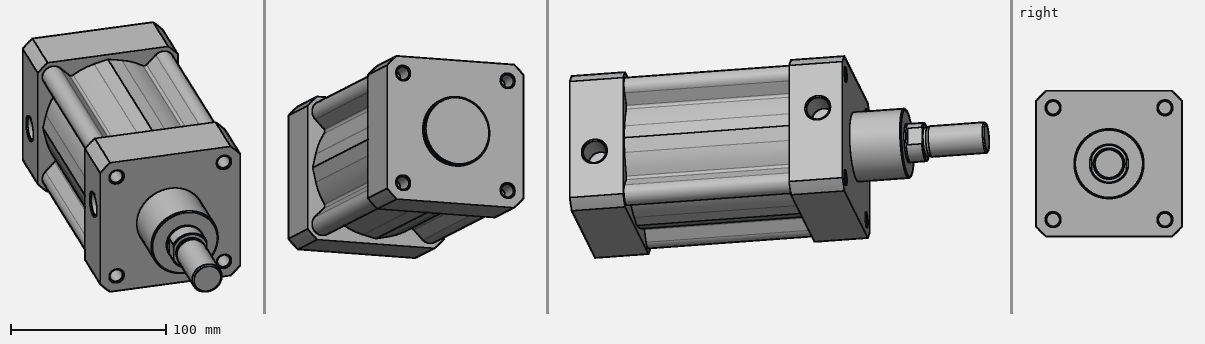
import cadquery as cq
import math


overall_length = 268.0

cover_width = 94.0
cover_length = 35.0
cover_corner_radius = 62.0
rear_cover_x = 0.0
rear_cover_end_x = rear_cover_x + cover_length
front_cover_x = 143.8
front_cover_end_x = front_cover_x + cover_length

spigot_diameter = 45.0
rear_spigot_length = 3.6
collar_length = 33.7
spigot_chamfer = 0.8
nose_length = 1.2

mount_hole_offset = 36.0
mount_hole_diameter = 8.5
mount_hole_depth = 16.0
mount_hole_chamfer = 0.8

port_diameter = 15.0
port_depth = 20.0
port_chamfer = 0.9
port_inset = 16.2
port_offset_z = 9.5

barrel_radius = 42.5
ridge_half_angle = 12.6
corner_rib_offset = 37.0
corner_rib_radius = 7.0
rib_root_fillet = 2.0

rod_diameter = 25.0
rod_flat_width = 22.2
rod_body_length = 10.7
rod_flat_length = 9.6
rod_chamfer = 0.5
relief_shoulder_diameter = 19.0
relief_root_diameter = 18.4
relief_taper_length = 1.7
relief_runout_length = 1.8
thread_diameter = 20.0
thread_chamfer = 1.0
rod_start_x = front_cover_end_x + collar_length + nose_length
rod_shoulder_x = rod_start_x + rod_body_length
rod_tip_x = overall_length - rear_spigot_length


def cylinder_x(start_x, length, diameter):
    """Solid cylinder along +X on the cylinder axis."""
    return cq.Workplane("YZ", origin=(start_x, 0, 0)).circle(diameter / 2).extrude(length)


def hole_cutter(diameter, depth, chamfer):
    """Blind hole along +Z from the origin with a 45 degree lead-in chamfer."""
    radius = diameter / 2
    outline = [
        (0, 0),
        (radius + chamfer, 0),
        (radius, chamfer),
        (radius, depth),
        (0, depth),
    ]
    return cq.Workplane("XZ").polyline(outline).close().revolve(360, (0, 0, 0), (0, 1, 0))


def make_cover(start_x, outer_x, inward, port_x, port_z):
    """Cover block with rounded corners, four mounting threads and one air port."""
    block = cq.Workplane("YZ", origin=(start_x, 0, 0)).rect(cover_width, cover_width).extrude(cover_length)
    cover = block.intersect(cylinder_x(start_x, cover_length, 2 * cover_corner_radius))

    mount = hole_cutter(mount_hole_diameter, mount_hole_depth, mount_hole_chamfer)
    mount = mount.rotate((0, 0, 0), (0, 1, 0), 90 * inward)
    for side_y in (-1, 1):
        for side_z in (-1, 1):
            place = (outer_x, side_y * mount_hole_offset, side_z * mount_hole_offset)
            cover = cover.cut(mount.translate(place))

    port = hole_cutter(port_diameter, port_depth, port_chamfer).rotate((0, 0, 0), (1, 0, 0), -90)
    return cover.cut(port.translate((port_x, -cover_width / 2, port_z)))


def make_rear_cover():
    """Rear cover with a short chamfered centring spigot."""
    cover = make_cover(rear_cover_x, rear_cover_x, 1, rear_cover_x + port_inset, -port_offset_z)
    spigot = cylinder_x(rear_cover_x - rear_spigot_length, rear_spigot_length, spigot_diameter)
    return cover.union(spigot.faces("<X").chamfer(spigot_chamfer))


def make_front_cover():
    """Front cover with a long chamfered collar and a nose that meets the rod."""
    port_x = front_cover_end_x - port_inset
    cover = make_cover(front_cover_x, front_cover_end_x, -1, port_x, port_offset_z)
    collar = cylinder_x(front_cover_end_x, collar_length, spigot_diameter)
    collar = collar.faces(">X").chamfer(spigot_chamfer)
    nose = cylinder_x(front_cover_end_x + collar_length, nose_length, rod_diameter)
    return cover.union(collar).union(nose)


def polar(radius, angle_degrees):
    """Point in the cross-section at an angle about the cylinder axis."""
    angle = math.radians(angle_degrees)
    return radius * math.cos(angle), radius * math.sin(angle)


def turned(along, across, angle_degrees):
    """Point given along and across a direction that lies at an angle in the cross-section."""
    return polar(math.hypot(along, across), angle_degrees + math.degrees(math.atan2(across, along)))


def make_barrel():
    """Round barrel with a shallow ridge on each side and a rounded rib towards each corner."""
    length = front_cover_x - rear_cover_end_x
    ridge_radius = barrel_radius / math.cos(math.radians(ridge_half_angle))
    arc_start = 45 - ridge_half_angle
    rib_centre = math.sqrt(2) * corner_rib_offset

    fillet_across = corner_rib_radius + rib_root_fillet
    fillet_centre_radius = barrel_radius + rib_root_fillet
    arc_end = math.degrees(math.asin(fillet_across / fillet_centre_radius))
    fillet_along = math.sqrt(fillet_centre_radius**2 - fillet_across**2)
    arc_middle = (arc_start + arc_end) / 2

    bend = math.radians((180 + arc_end + 270) / 2)
    bend_along = fillet_along + rib_root_fillet * math.cos(bend)
    bend_across = fillet_across + rib_root_fillet * math.sin(bend)

    outline = cq.Workplane("YZ", origin=(rear_cover_end_x, 0, 0)).moveTo(*polar(ridge_radius, -90))
    for rib_angle in (-45, 45, 135, 225):
        if rib_angle > -45:
            outline = outline.lineTo(*polar(ridge_radius, rib_angle - 45))
        outline = (
            outline.lineTo(*polar(barrel_radius, rib_angle - arc_start))
            .threePointArc(
                polar(barrel_radius, rib_angle - arc_middle),
                polar(barrel_radius, rib_angle - arc_end),
            )
            .threePointArc(
                turned(bend_along, -bend_across, rib_angle),
                turned(fillet_along, -corner_rib_radius, rib_angle),
            )
            .lineTo(*turned(rib_centre, -corner_rib_radius, rib_angle))
            .threePointArc(
                polar(rib_centre + corner_rib_radius, rib_angle),
                turned(rib_centre, corner_rib_radius, rib_angle),
            )
            .lineTo(*turned(fillet_along, corner_rib_radius, rib_angle))
            .threePointArc(
                turned(bend_along, bend_across, rib_angle),
                polar(barrel_radius, rib_angle + arc_end),
            )
            .threePointArc(
                polar(barrel_radius, rib_angle + arc_middle),
                polar(barrel_radius, rib_angle + arc_start),
            )
        )
    return outline.close().extrude(length)


def make_rod():
    """Rod end with two spanner flats, a tapered thread relief and a plain thread cylinder."""
    body_radius = rod_diameter / 2
    thread_radius = thread_diameter / 2
    relief_root_x = rod_shoulder_x + relief_taper_length
    half_profile = [
        (rod_start_x, 0),
        (rod_start_x, body_radius),
        (rod_shoulder_x - rod_chamfer, body_radius),
        (rod_shoulder_x, body_radius - rod_chamfer),
        (rod_shoulder_x, relief_shoulder_diameter / 2),
        (relief_root_x, relief_root_diameter / 2),
        (relief_root_x + relief_runout_length, thread_radius),
        (rod_tip_x - thread_chamfer, thread_radius),
        (rod_tip_x, thread_radius - thread_chamfer),
        (rod_tip_x, 0),
    ]
    rod = cq.Workplane("XY").polyline(half_profile).close().revolve(360, (0, 0, 0), (1, 0, 0))

    flat_depth = (rod_diameter - rod_flat_width) / 2
    flat_cutter = cq.Workplane("XY").box(rod_flat_length, flat_depth, rod_diameter)
    flat_centre_x = rod_shoulder_x - rod_flat_length / 2
    for side in (-1, 1):
        flat_centre_y = side * (rod_flat_width + flat_depth) / 2
        rod = rod.cut(flat_cutter.translate((flat_centre_x, flat_centre_y, 0)))
    return rod


rear_cover = make_rear_cover()
front_cover = make_front_cover()
barrel = make_barrel()
rod = make_rod()

result = cq.Compound.makeCompound([rear_cover.val(), front_cover.val(), barrel.val(), rod.val()])